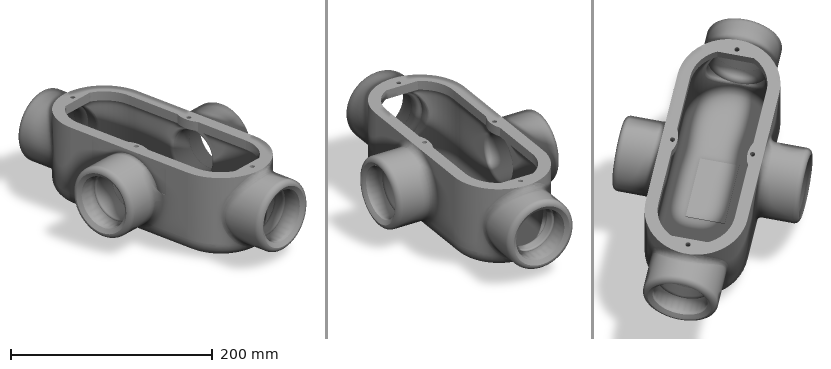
import cadquery as cq
import math

length = 314.5
width = 189.0
height = 90.5

end_center = 75.5
body_radius = 51.5
bottom_fillet = 16.5

wall = 6.3
floor = 6.3
cavity_fillet = 6.3
rim_depth = 10.0
opening_radius = 38.7
opening_length = 218.8

screw_diameter = 5.0
screw_x = 116.0
screw_y = 40.5
lug_width = 26.5
lug_reach = 3.0

hub_radius = 38.0
hub_axis_z = 47.8
flare = 5.7

mouth_radius = 32.5
mouth_chamfer = 3.0
mouth_rounding = hub_radius - mouth_radius
socket_radius = 28.0
socket_end_radius = 27.5
socket_depth = 21.7
throat_radius = 25.5
throat_rounding = socket_end_radius - throat_radius

side_port_rounding = 2.8
end_port_radius = 30.2
end_port_depth = 121.3
end_port_rounding = 2.8
end_lip_rounding = end_port_radius - throat_radius

panel_width = 96.0
panel_height = 33.5
panel_top_margin = 1.0
panel_recess = 0.3
panel_slope_height = 12.5

plate_length = 68.8
plate_width = 39.5
plate_thickness = 1.0

tolerance = 0.3

arc_inset = 1 - math.sqrt(0.5)

hubs = [
    (0, length / 2),
    (90, width / 2),
    (180, length / 2),
    (270, width / 2),
]


def slot(radius, bottom, top):
    """Upright round-ended block centred on the Z axis."""
    block = cq.Workplane("XY", origin=(0, 0, bottom))
    return block.slot2D(2 * (end_center + radius), 2 * radius).extrude(top - bottom)


def aim(shape, angle):
    """Lift a shape built along +X to the hub height and turn it about Z."""
    return shape.rotate((0, 0, 0), (0, 0, 1), angle).translate((0, 0, hub_axis_z))


def rod(radius, start, end):
    """Cylinder along +X between two distances from the Z axis."""
    return cq.Workplane("YZ", origin=(start, 0, 0)).circle(radius).extrude(end - start)


def spin(profile):
    """Solid made by turning a profile fully around the X axis."""
    return profile.revolve(360, (0, 0, 0), (1, 0, 0))


def is_hub_joint(edge):
    """True for the edges where a hub meets the body wall or its rounded bottom."""
    curved = edge.geomType() != "LINE"
    middle = edge.Center()
    off_mouth = abs(middle.x) < length / 2 - flare and abs(middle.y) < width / 2 - flare
    box = edge.BoundingBox()
    hub_bottom = hub_axis_z - hub_radius
    return curved and off_mouth and hub_bottom - tolerance < box.zmin < box.zmax - tolerance < height


def outer_shape():
    """Body and hubs, flared where they join and rounded over at the mouths."""
    body = slot(body_radius, 0, height).faces("<Z").edges().fillet(bottom_fillet)
    for angle, mouth in hubs:
        hub = rod(hub_radius, 0, mouth).faces(">X").edges().fillet(mouth_rounding)
        body = body.union(aim(hub, angle))
    joints = [edge for edge in body.edges().vals() if is_hub_joint(edge)]
    return body.newObject(joints).fillet(flare)


def socket(mouth):
    """Countersunk tapered socket that narrows through a rounded shoulder, along +X."""
    shoulder = mouth - socket_depth
    throat_start = shoulder - throat_rounding
    inset = arc_inset * throat_rounding
    profile = (
        cq.Workplane("XY")
        .moveTo(mouth, 0)
        .lineTo(mouth, mouth_radius)
        .lineTo(mouth - mouth_chamfer, socket_radius)
        .lineTo(shoulder, socket_end_radius)
        .threePointArc((shoulder - inset, throat_radius + inset), (throat_start, throat_radius))
        .lineTo(throat_start, 0)
        .close()
    )
    return spin(profile)


def end_throat():
    """Throat of an end hub, with the lip at its inner end rounded, along +X."""
    start = end_port_depth
    end = length / 2 - socket_depth
    inset = arc_inset * end_lip_rounding
    profile = (
        cq.Workplane("XY")
        .moveTo(start, 0)
        .lineTo(start, end_port_radius)
        .threePointArc((start + inset, throat_radius + inset), (start + end_lip_rounding, throat_radius))
        .lineTo(end, throat_radius)
        .lineTo(end, 0)
        .close()
    )
    return spin(profile)


def side_passages(space):
    """Add the two side throats, rounded where they open through the chamber wall."""
    for angle in (90, 270):
        space = space.union(aim(rod(throat_radius, 0, width / 2 - socket_depth), angle))
    on_wall = cq.selectors.BoxSelector(
        (-throat_radius, -body_radius, 0), (throat_radius, body_radius, height)
    )
    rims = space.edges("%CIRCLE").edges(on_wall).edges(cq.selectors.RadiusNthSelector(0))
    return rims.fillet(side_port_rounding)


def end_passages(space):
    """Add the two end ports, rounded where they open, each with a round-lipped throat."""
    for angle in (0, 180):
        space = space.union(aim(rod(end_port_radius, 0, end_port_depth), angle))
    space = space.edges("%BSPLINE").fillet(end_port_rounding)
    for angle in (0, 180):
        space = space.union(aim(end_throat(), angle))
    return space


def cavity():
    """Inside of the box: a wide chamber with its passages, under a narrower opening."""
    rim_bottom = height - rim_depth
    chamber = slot(body_radius - wall, floor, rim_bottom).faces("<Z").edges().fillet(cavity_fillet)
    chamber = end_passages(side_passages(chamber))
    opening = slot(opening_radius, rim_bottom, height).intersect(
        cq.Workplane("XY").rect(opening_length, width).extrude(height)
    )
    for side in (1, -1):
        opening = opening.cut(screw_lug(side))
    return chamber.union(opening)


def screw_lug(side):
    """Shallow bulge of the rim around a side screw."""
    edge_y = side * opening_radius
    return (
        cq.Workplane("XY", origin=(0, 0, height - rim_depth))
        .moveTo(-lug_width / 2, edge_y)
        .threePointArc((0, edge_y - side * lug_reach), (lug_width / 2, edge_y))
        .close()
        .extrude(rim_depth)
    )


def screw_holes():
    """Four holes through the rim for the cover screws."""
    spots = [(screw_x, 0), (-screw_x, 0), (0, screw_y), (0, -screw_y)]
    holes = cq.Workplane("XY", origin=(0, 0, height)).pushPoints(spots)
    return holes.circle(screw_diameter / 2).extrude(-rim_depth)


def panel_relief():
    """Shallow label panel, with the flare of the -Y hub left out in front of it."""
    bottom = height - panel_top_margin - panel_height
    face = -body_radius
    outline = (
        cq.Workplane("YZ", origin=(-panel_width / 2, 0, 0))
        .moveTo(face + panel_recess, height - panel_top_margin)
        .lineTo(face + panel_recess, bottom)
        .lineTo(face, bottom)
        .lineTo(face - flare, bottom + panel_slope_height)
        .lineTo(face - flare, height - panel_top_margin)
        .close()
    )
    return outline.extrude(panel_width).cut(aim(rod(hub_radius, 0, width / 2), -90))


def floor_plate():
    """Raised plate in the middle of the cavity floor."""
    plate = cq.Workplane("XY", origin=(0, 0, floor)).rect(plate_length, plate_width)
    return plate.extrude(plate_thickness)


result = outer_shape().cut(panel_relief()).cut(cavity())
for angle, mouth in hubs:
    result = result.cut(aim(socket(mouth), angle))
result = result.cut(screw_holes()).union(floor_plate())